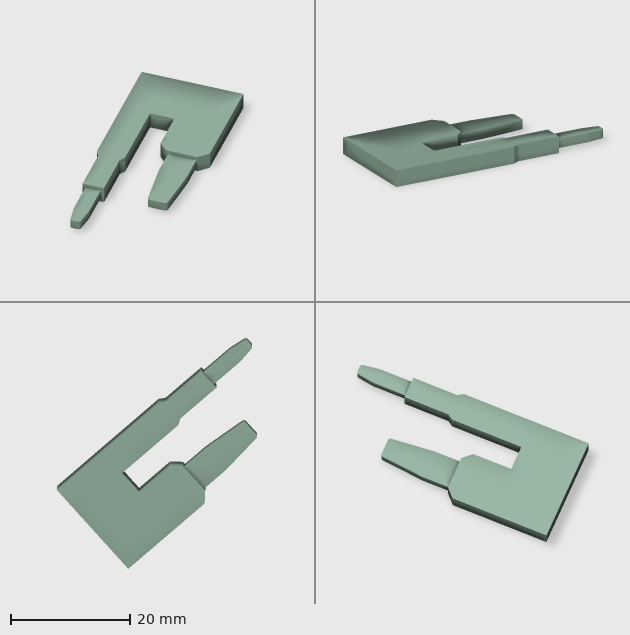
import cadquery as cq

body_width = 18.12
body_thickness = 3.0
overall_length = 40.93
slot_top_y = 30.79

long_leg_width = 5.05
long_leg_end_y = 9.18
neck_inset = 0.62
neck_start_y = 18.18
neck_end_y = 17.2

short_leg_width = 8.75
short_leg_end_y = 22.3
short_leg_chamfer_height = 1.55
inner_chamfer_width = 1.48
outer_chamfer_width = 1.6

pin_thickness = 1.6
tip_radius = 0.5
pin_overlap = 1.0

long_pin_center_x = 2.48
long_pin_width = 2.7
long_pin_tip_width = 1.73
long_pin_tip_y = 0.0
long_pin_taper_start_y = 3.24

short_pin_center_x = 13.75
short_pin_width = 5.05
short_pin_tip_width = 3.49
short_pin_tip_y = 9.58
short_pin_taper_start_y = 17.6


def make_body():
    short_leg_inner_x = body_width - short_leg_width
    short_leg_chamfer_y = short_leg_end_y + short_leg_chamfer_height
    outline = [
        (0, overall_length),
        (0, neck_start_y),
        (neck_inset, neck_end_y),
        (neck_inset, long_leg_end_y),
        (long_leg_width - neck_inset, long_leg_end_y),
        (long_leg_width - neck_inset, neck_end_y),
        (long_leg_width, neck_start_y),
        (long_leg_width, slot_top_y),
        (short_leg_inner_x, slot_top_y),
        (short_leg_inner_x, short_leg_chamfer_y),
        (short_leg_inner_x + inner_chamfer_width, short_leg_end_y),
        (body_width - outer_chamfer_width, short_leg_end_y),
        (body_width, short_leg_chamfer_y),
        (body_width, overall_length),
    ]
    return cq.Workplane("XY").polyline(outline).close().extrude(body_thickness)


def make_pin(center_x, width, tip_width, tip_y, taper_start_y, leg_end_y):
    """Blade centred in the body thickness, running from inside its leg to the tip."""
    root_y = leg_end_y + pin_overlap
    outline = [
        (center_x - width / 2, root_y),
        (center_x - width / 2, taper_start_y),
        (center_x - tip_width / 2, tip_y),
        (center_x + tip_width / 2, tip_y),
        (center_x + width / 2, taper_start_y),
        (center_x + width / 2, root_y),
    ]
    base_z = (body_thickness - pin_thickness) / 2
    blade = cq.Workplane("XY").workplane(offset=base_z).polyline(outline).close().extrude(pin_thickness)
    return blade.faces("<Y").edges("|Z").fillet(tip_radius)


long_pin = make_pin(
    long_pin_center_x,
    long_pin_width,
    long_pin_tip_width,
    long_pin_tip_y,
    long_pin_taper_start_y,
    long_leg_end_y,
)
short_pin = make_pin(
    short_pin_center_x,
    short_pin_width,
    short_pin_tip_width,
    short_pin_tip_y,
    short_pin_taper_start_y,
    short_leg_end_y,
)

result = make_body().union(long_pin).union(short_pin)